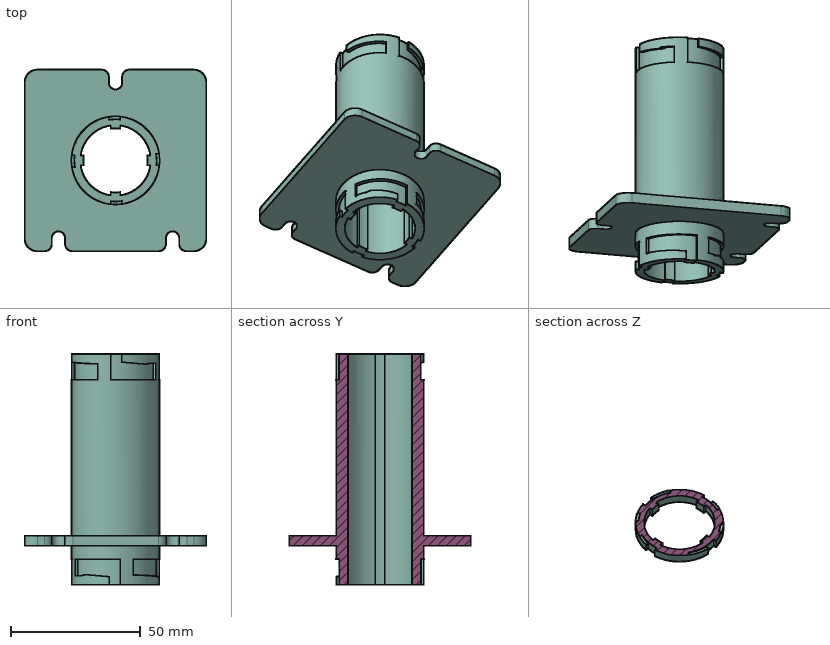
import cadquery as cq

length = 89.0
tube_radius = 17.0
bore_radius = 13.5

key_width = 3.8
key_tip_radius = 12.3

plate_side = 70.0
plate_thickness = 4.0
plate_bottom = 15.0
plate_corner_radius = 5.0

notch_width = 5.0
notch_depth = 7.65
notch_mouth_radius = 2.9
side_notch_offset = 22.0

groove_count = 4
groove_floor_radius = 15.8
groove_height = 10.0
entry_left = -key_width / 2
entry_right = 2.5
groove_end_angle = 66.0
lip_at_entry = 3.2
lip_at_end = 4.0
lip_past_detent = 3.6
detent_peak_x = 12.0
detent_foot_x = 12.8

overcut = 0.9
cutter_radius = tube_radius + overcut


def make_notch():
    """Cutter for a round-bottomed notch with rounded mouth corners, opening toward -Y at x = 0."""
    edge_y = -plate_side / 2
    half_width = notch_width / 2
    mouth_half = half_width + notch_mouth_radius
    straight_start = edge_y + notch_mouth_radius
    straight_end = edge_y + notch_depth - half_width
    return (
        cq.Workplane("XY", origin=(0, 0, plate_bottom))
        .moveTo(-mouth_half, edge_y)
        .radiusArc((-half_width, straight_start), -notch_mouth_radius)
        .lineTo(-half_width, straight_end)
        .threePointArc((0, edge_y + notch_depth), (half_width, straight_end))
        .lineTo(half_width, straight_start)
        .radiusArc((mouth_half, edge_y), -notch_mouth_radius)
        .lineTo(mouth_half, edge_y - overcut)
        .lineTo(-mouth_half, edge_y - overcut)
        .close()
        .extrude(plate_thickness)
    )


def make_plate():
    """Square plate with two notches in the -Y edge and one in the +Y edge."""
    plate = (
        cq.Workplane("XY", origin=(0, 0, plate_bottom))
        .rect(plate_side, plate_side)
        .extrude(plate_thickness)
        .edges("|Z")
        .fillet(plate_corner_radius)
    )
    notch = make_notch()
    for side in (-1, 1):
        plate = plate.cut(notch.translate((side * side_notch_offset, 0, 0)))
    return plate.cut(notch.rotate((0, 0, 0), (0, 0, 1), 180))


def make_keys():
    """Four full-length keys on the bore wall, with tips on a common cylinder."""
    embed_radius = (bore_radius + groove_floor_radius) / 2
    ring = cq.Workplane("XY").circle(embed_radius).circle(key_tip_radius).extrude(length)
    bar = cq.Workplane("XY").rect(2 * tube_radius, key_width).extrude(length)
    cross_bar = bar.rotate((0, 0, 0), (0, 0, 1), 90)
    return ring.intersect(bar.union(cross_bar))


def make_groove(has_detent):
    """Cutter for one groove at the top end: entry at -Y, turning counterclockwise seen from above."""
    floor_z = length - groove_height
    top_z = length + overcut
    outline = [
        (entry_left, floor_z),
        (entry_left, top_z),
        (entry_right, top_z),
        (entry_right, length - lip_at_entry),
    ]
    if has_detent:
        outline += [
            (detent_peak_x, length - lip_at_end),
            (detent_foot_x, length - lip_past_detent),
            (cutter_radius, length - lip_past_detent),
        ]
    else:
        outline.append((cutter_radius, length - lip_at_end))
    outline.append((cutter_radius, floor_z))
    profile = cq.Workplane("XZ").polyline(outline).close().extrude(cutter_radius)

    ring = (
        cq.Workplane("XY", origin=(0, 0, floor_z))
        .circle(cutter_radius)
        .circle(groove_floor_radius)
        .extrude(groove_height + overcut)
    )
    corner_block = (
        cq.Workplane("XY", origin=(0, 0, floor_z))
        .rect(2 * cutter_radius, 2 * cutter_radius, centered=False)
        .extrude(groove_height + overcut)
        .rotate((0, 0, 0), (0, 0, 1), groove_end_angle - 180)
    )
    return ring.intersect(corner_block).intersect(profile)


def cut_grooves(part):
    """Cut the grooves at both ends; those entering at -Y and +Y have a detent in the lip."""
    mid_height = length / 2
    for index in range(groove_count):
        groove = make_groove(has_detent=index % 2 == 0)
        groove = groove.rotate((0, 0, 0), (0, 0, 1), index * 360 / groove_count)
        bottom_groove = groove.rotate((0, 0, mid_height), (0, 1, mid_height), 180)
        part = part.cut(groove).cut(bottom_groove)
    return part


tube = cq.Workplane("XY").circle(tube_radius).extrude(length)
bore = cq.Workplane("XY").circle(bore_radius).extrude(length)

result = cut_grooves(tube.union(make_plate()).cut(bore).union(make_keys()))